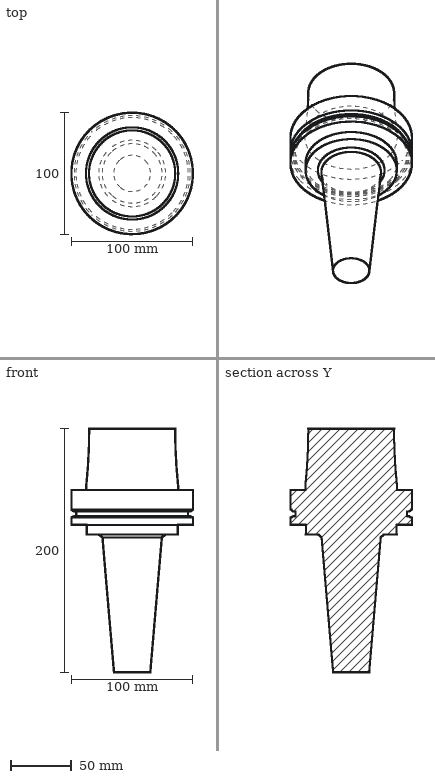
import cadquery as cq

total_height = 200.0
neck_top = 152.5
flange_top = 149.8
groove_top = 131.8
groove_bottom = 128.2
flange_bottom = 121.0
hub_bottom = 113.0
shank_top = 110.8

flange_radius = 100.0 / 2
groove_radius = 92.0 / 2
neck_radius = 75.8 / 2
hub_radius = 75.0 / 2
plug_top_radius = 70.8 / 2
collar_radius = 54.8 / 2
shank_top_radius = 49.0 / 2
shank_tip_radius = 30.0 / 2

upper_bevel_height = 1.8
lower_bevel_height = 1.2
bevel_width = 2.5

flare_share_at_middle = 0.25
plug_middle_height = (total_height + neck_top) / 2
plug_middle_radius = plug_top_radius + flare_share_at_middle * (neck_radius - plug_top_radius)

profile = (
    cq.Workplane("XZ")
    .lineTo(shank_tip_radius, 0)
    .lineTo(shank_top_radius, shank_top)
    .lineTo(collar_radius, hub_bottom)
    .lineTo(hub_radius, hub_bottom)
    .lineTo(hub_radius, flange_bottom)
    .lineTo(flange_radius, flange_bottom)
    .lineTo(flange_radius, groove_bottom - lower_bevel_height)
    .lineTo(flange_radius - bevel_width, groove_bottom)
    .lineTo(groove_radius, groove_bottom)
    .lineTo(groove_radius, groove_top)
    .lineTo(flange_radius - bevel_width, groove_top)
    .lineTo(flange_radius, groove_top + upper_bevel_height)
    .lineTo(flange_radius, flange_top)
    .lineTo(neck_radius, flange_top)
    .lineTo(neck_radius, neck_top)
    .threePointArc((plug_middle_radius, plug_middle_height), (plug_top_radius, total_height))
    .lineTo(0, total_height)
    .close()
)

result = profile.revolve(360, (0, 0, 0), (0, 1, 0))